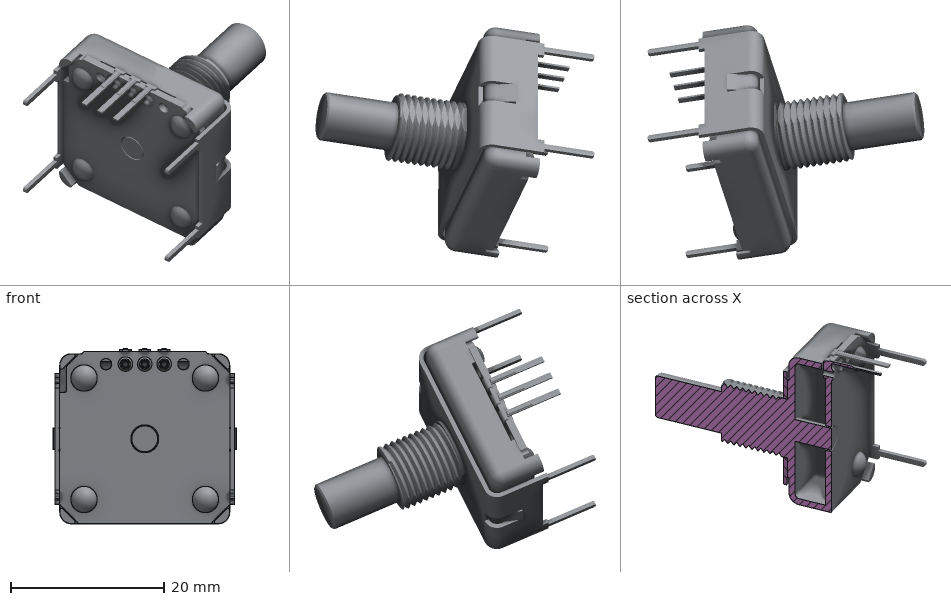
import cadquery as cq
import math


SHAFT_RADIUS = 3.17
SHAFT_TIP_Y = 18.53
SHAFT_CHAMFER = 0.25
BUSHING_RADIUS = 4.48
BUSHING_TOP_Y = 9.0
BUSHING_FLAT_WIDTH = 8.2
BUSHING_TIP_BEVEL_DEPTH = 0.4
BUSHING_TIP_BEVEL_LENGTH = 0.15
THREAD_START_Y = 0.3
THREAD_PITCH = 0.88
THREAD_ROOT_RADIUS = 4.05
THREAD_ROOT_WIDTH = 0.07
THREAD_CREST_WIDTH = 0.07
THREAD_OVERCUT = 0.05
THREAD_END_ANGLE = 7.0
THREAD_END_Y = 8.93

SHEET = 0.57
BRACKET_WIDTH = 23.4
BRACKET_HEIGHT = 17.08
BRACKET_BEND_RADIUS = 1.75
BRACKET_SIDE_REAR_Y = -7.55
EAR_REAR_Y = -8.4
EAR_HEIGHT = 1.9
OVERALL_LENGTH = 33.7
LEG_TIP_Y = SHAFT_TIP_Y - OVERALL_LENGTH
LEG_WIDTH = 0.77
LEG_CENTRE_Z = 7.6
LEG_TIP_CHAMFER = 0.2
LATCH_SLOT_HEIGHT = 3.05
LATCH_SLOT_CENTRE_Z = -0.07
LATCH_SLOT_REAR_Y = -4.55

HOUSING_SIZE = 22.17
HOUSING_HALF = HOUSING_SIZE / 2
HOUSING_FRONT_Y = -0.8
HOUSING_RADIUS = 1.5
HOUSING_WALL = 0.98
POST_REAR_Y = -8.0
POST_INNER = 9.1
POST_DIAGONAL_SUM = 19.8
POST_ROUND = 0.2
BOSS_RADIUS = 7.4
LATCH_WIDTH = 2.75
LATCH_FRONT_Y = -1.9
LATCH_SPAN = 23.9
CAVITY_WIDTH = 12.13
TERMINAL_SLOT_DEPTH = 0.5

BOARD_FRONT_Y = -6.1
BOARD_THICKNESS = 0.95
BOARD_REAR_Y = BOARD_FRONT_Y - BOARD_THICKNESS
BOARD_TOP_Z = 11.4
BOARD_TAB_HALF_WIDTH = 8.22
BOARD_TAB_ROUND = 0.37
BOARD_CORNER_CUT = 2.5
BOARD_NOTCH_WIDTH = 0.88
BOARD_NOTCH_BOTTOM_Z = 6.05
BOARD_NOTCH_ROUND = 0.25
BOARD_CENTRE_HOLE_RADIUS = 1.82
ROTOR_RADIUS = 1.7
STAKE_OFFSET = 7.92
STAKE_RADIUS = 1.72
STAKE_HEIGHT = 1.05
HOLE_ROW_Z = 9.75
SPARE_HOLE_RADIUS = 0.75

TERMINAL_PITCH = 2.53
TERMINAL_SHEET = 0.27
TERMINAL_BEND_RADIUS = 0.37
TERMINAL_FOOT_WIDTH = 1.55
TERMINAL_FOOT_BOTTOM_Z = HOLE_ROW_Z - TERMINAL_FOOT_WIDTH / 2
TERMINAL_SHOULDER_Y = -6.55
TERMINAL_BLADE_WIDTH = 0.8
TERMINAL_TIP_Y = -14.22
TERMINAL_RIB_WIDTH = 0.67
TERMINAL_RIB_HEIGHT = 0.15
TERMINAL_RIB_FRONT_Y = -6.57
TERMINAL_RIB_REAR_Y = -10.25
EYELET_RADIUS = 0.95
EYELET_LIP_RADIUS = 0.67
EYELET_HEIGHT = 0.27
EYELET_HOLE_RADIUS = 0.37
EYELET_FLARE = 0.15

OVERCUT = 0.35


def block(x_range, y_range, z_range):
    """Box between the given limits."""
    (x0, x1), (y0, y1), (z0, z1) = x_range, y_range, z_range
    return cq.Workplane("XY").box(x1 - x0, y1 - y0, z1 - z0, centered=False).translate((x0, y0, z0))


def rod(radius, y_start, y_end, x=0.0, z=0.0):
    """Cylinder parallel to Y."""
    axis = cq.Vector(0, 1, 0)
    return cq.Workplane(cq.Solid.makeCylinder(radius, y_end - y_start, cq.Vector(x, y_start, z), axis))


def with_flats(round_part):
    """Trims a part to the bushing's two flats, facing -X and +X."""
    half = BUSHING_FLAT_WIDTH / 2
    far = HOUSING_SIZE
    return round_part.intersect(block((-half, half), (-far, far), (-far, far)))


def y_prism(points, y_start, y_end):
    """Closed outline of (x, z) points, extruded along Y."""
    outline = cq.Workplane("XZ", origin=(0, y_end, 0)).polyline(points).close()
    return outline.extrude(y_end - y_start)




def thread_groove():
    """V groove of a right-hand thread that ends near the top of the bushing."""
    half_mouth = (THREAD_PITCH - THREAD_CREST_WIDTH) / 2
    half_root = THREAD_ROOT_WIDTH / 2
    flank_slope = (half_mouth - half_root) / (BUSHING_RADIUS - THREAD_ROOT_RADIUS)
    outside = BUSHING_RADIUS + THREAD_OVERCUT
    half_outside = half_mouth + flank_slope * THREAD_OVERCUT
    turns = math.ceil((THREAD_END_Y - THREAD_START_Y) / THREAD_PITCH) + 1
    length = turns * THREAD_PITCH
    helix = cq.Wire.makeHelix(THREAD_PITCH, length, THREAD_ROOT_RADIUS)
    profile = (
        cq.Workplane("XZ")
        .moveTo(THREAD_ROOT_RADIUS, -half_root)
        .lineTo(outside, -half_outside)
        .lineTo(outside, half_outside)
        .lineTo(THREAD_ROOT_RADIUS, half_root)
        .close()
    )
    groove = profile.sweep(cq.Workplane(helix), isFrenet=True)
    groove = groove.rotate((0, 0, 0), (1, 0, 0), -90)
    groove = groove.rotate((0, 0, 0), (0, 1, 0), THREAD_END_ANGLE - 90)
    return groove.translate((0, THREAD_END_Y - length, 0))


def bevelled_envelope():
    """Cylinder around the whole bushing, bevelled at the tip."""
    radius = BUSHING_RADIUS + THREAD_OVERCUT
    tip_radius = BUSHING_RADIUS - BUSHING_TIP_BEVEL_DEPTH
    overcut_length = THREAD_OVERCUT * BUSHING_TIP_BEVEL_LENGTH / BUSHING_TIP_BEVEL_DEPTH
    bevel_start_y = BUSHING_TOP_Y - BUSHING_TIP_BEVEL_LENGTH - overcut_length
    outline = (
        cq.Workplane("XY")
        .moveTo(0, HOUSING_FRONT_Y)
        .lineTo(radius, HOUSING_FRONT_Y)
        .lineTo(radius, bevel_start_y)
        .lineTo(tip_radius, BUSHING_TOP_Y)
        .lineTo(0, BUSHING_TOP_Y)
        .close()
    )
    return outline.revolve(360, (0, 0, 0), (0, 1, 0))


def bushing():
    threaded = rod(BUSHING_RADIUS, THREAD_START_Y, BUSHING_TOP_Y).cut(thread_groove())
    plain = rod(BUSHING_RADIUS, HOUSING_FRONT_Y, THREAD_START_Y)
    return with_flats(threaded).union(with_flats(plain)).intersect(bevelled_envelope())


def shaft():
    outer = rod(SHAFT_RADIUS, BUSHING_TOP_Y, SHAFT_TIP_Y).faces(">Y").chamfer(SHAFT_CHAMFER)
    return outer.union(rod(ROTOR_RADIUS, BOARD_REAR_Y, BUSHING_TOP_Y))


def rounded_cup(half_width, half_height, y_rear, y_front, radius):
    """Block with rounded corners and a rounded front rim."""
    cup = block((-half_width, half_width), (y_rear, y_front), (-half_height, half_height))
    return cup.edges("|Y or >Y").fillet(radius)


def corner_posts():
    """Four slanted, square-cornered posts; the housing rounds their outer corners."""
    slant = POST_DIAGONAL_SUM - POST_INNER
    round_start = HOUSING_HALF - POST_ROUND
    round_end = POST_INNER + POST_ROUND
    bulge = POST_ROUND * (1 - math.sqrt(0.5))
    post = (
        cq.Workplane("XZ", origin=(0, BOARD_FRONT_Y, 0))
        .moveTo(HOUSING_HALF, HOUSING_HALF)
        .lineTo(round_end, HOUSING_HALF)
        .threePointArc((POST_INNER + bulge, HOUSING_HALF - bulge), (POST_INNER, round_start))
        .lineTo(POST_INNER, slant)
        .lineTo(slant, POST_INNER)
        .lineTo(round_start, POST_INNER)
        .threePointArc((HOUSING_HALF - bulge, POST_INNER + bulge), (HOUSING_HALF, round_end))
        .close()
        .extrude(BOARD_FRONT_Y - POST_REAR_Y)
    )
    right = post.union(post.mirror("XY"))
    return right.union(right.mirror("YZ"))


def latch():
    """Snap wedge on the -X side, rising towards the rear."""
    root_x = -HOUSING_HALF + HOUSING_WALL / 2
    return (
        cq.Workplane("XY", origin=(0, 0, -LATCH_WIDTH / 2))
        .moveTo(root_x, LATCH_FRONT_Y)
        .lineTo(-HOUSING_HALF, LATCH_FRONT_Y)
        .lineTo(-LATCH_SPAN / 2, LATCH_SLOT_REAR_Y)
        .lineTo(root_x, LATCH_SLOT_REAR_Y)
        .close()
        .extrude(LATCH_WIDTH)
    )


def housing():
    full = rounded_cup(HOUSING_HALF, HOUSING_HALF, POST_REAR_Y, HOUSING_FRONT_Y, HOUSING_RADIUS)
    far = HOUSING_SIZE
    rim_cut = block((-far, far), (POST_REAR_Y, BOARD_FRONT_Y), (-far, far)).cut(corner_posts())
    cavity = rounded_cup(
        CAVITY_WIDTH / 2,
        HOUSING_HALF - HOUSING_WALL,
        POST_REAR_Y,
        HOUSING_FRONT_Y - HOUSING_WALL,
        HOUSING_RADIUS - HOUSING_WALL,
    )
    half_slot = CAVITY_WIDTH / 2
    terminal_slot = block(
        (-half_slot, half_slot), (BOARD_FRONT_Y, BOARD_FRONT_Y + TERMINAL_SLOT_DEPTH), (0, far)
    )
    boss = rod(BOSS_RADIUS, HOUSING_FRONT_Y, -SHEET)
    shell = full.cut(rim_cut).cut(cavity).cut(terminal_slot)
    return shell.union(boss).union(latch()).union(latch().mirror("YZ"))


def board():
    half = HOUSING_HALF
    corner = half - BOARD_CORNER_CUT
    tab_rise = BOARD_TOP_Z - half
    right_side = [
        (BOARD_TAB_HALF_WIDTH - tab_rise, BOARD_TOP_Z),
        (BOARD_TAB_HALF_WIDTH, half),
        (corner, half),
        (half, corner),
        (half, -corner),
        (corner, -half),
    ]
    left_side = [(-x, z) for x, z in reversed(right_side)]
    plate = y_prism(right_side + left_side, BOARD_REAR_Y, BOARD_FRONT_Y)
    for side in (-1, 1):
        tab_root = cq.selectors.NearestToPointSelector((side * BOARD_TAB_HALF_WIDTH, BOARD_REAR_Y, half))
        plate = plate.edges("|Y").edges(tab_root).fillet(BOARD_TAB_ROUND)
    notch = block(
        (-half - OVERCUT, -half + BOARD_NOTCH_WIDTH),
        (BOARD_REAR_Y, BOARD_FRONT_Y),
        (BOARD_NOTCH_BOTTOM_Z, half),
    )
    notch = notch.edges("|Y and >X and <Z").fillet(BOARD_NOTCH_ROUND)
    plate = plate.cut(notch).cut(rod(BOARD_CENTRE_HOLE_RADIUS, BOARD_REAR_Y, BOARD_FRONT_Y))
    for side in (-1, 1):
        x = side * 2 * TERMINAL_PITCH
        plate = plate.cut(rod(SPARE_HOLE_RADIUS, BOARD_REAR_Y, BOARD_FRONT_Y, x, HOLE_ROW_Z))
    return plate


def stake_head(x, z):
    """Domed head of a heat stake on the rear of the board."""
    sphere_radius = (STAKE_RADIUS**2 + STAKE_HEIGHT**2) / (2 * STAKE_HEIGHT)
    centre_y = BOARD_REAR_Y - STAKE_HEIGHT + sphere_radius
    ball = cq.Workplane("XY").sphere(sphere_radius).translate((x, centre_y, z))
    return ball.intersect(rod(STAKE_RADIUS, BOARD_REAR_Y - STAKE_HEIGHT, BOARD_REAR_Y, x, z))


def terminal(x):
    """Bent terminal: foot in front of the board, blade over its top edge, raised rib on the blade."""
    half_foot = TERMINAL_FOOT_WIDTH / 2
    half_blade = TERMINAL_BLADE_WIDTH / 2
    top_z = BOARD_TOP_Z + TERMINAL_SHEET
    front_y = BOARD_FRONT_Y + TERMINAL_SHEET
    foot = block((-half_foot, half_foot), (BOARD_FRONT_Y, front_y), (TERMINAL_FOOT_BOTTOM_Z, top_z))
    shoulder = block((-half_foot, half_foot), (TERMINAL_SHOULDER_Y, front_y), (BOARD_TOP_Z, top_z))
    bend = foot.union(shoulder).edges("|X and >Y and >Z").fillet(TERMINAL_BEND_RADIUS)
    blade = block((-half_blade, half_blade), (TERMINAL_TIP_Y, TERMINAL_SHOULDER_Y), (BOARD_TOP_Z, top_z))
    rib_length = TERMINAL_RIB_FRONT_Y - TERMINAL_RIB_REAR_Y
    rib_centre_y = (TERMINAL_RIB_FRONT_Y + TERMINAL_RIB_REAR_Y) / 2
    rib = (
        cq.Workplane("XY", origin=(0, rib_centre_y, top_z))
        .rect(TERMINAL_RIB_WIDTH, rib_length)
        .extrude(TERMINAL_RIB_HEIGHT, taper=45)
    )
    return bend.union(blade).union(rib).translate((x, 0, 0))


def eyelet_flange(x):
    """Cone-shaped eyelet flange on the rear of the board."""
    flange = cq.Solid.makeCone(
        EYELET_RADIUS,
        EYELET_LIP_RADIUS,
        EYELET_HEIGHT,
        cq.Vector(x, BOARD_REAR_Y, HOLE_ROW_Z),
        cq.Vector(0, -1, 0),
    )
    return cq.Workplane(flange)


def eyelet_hole(x):
    """Hole through the eyelet, board and terminal foot, flared at the rear."""
    rear_y = BOARD_REAR_Y - EYELET_HEIGHT
    bore = rod(EYELET_HOLE_RADIUS, rear_y, BOARD_FRONT_Y + TERMINAL_SHEET, x, HOLE_ROW_Z)
    flare = cq.Solid.makeCone(
        EYELET_HOLE_RADIUS + EYELET_FLARE,
        EYELET_HOLE_RADIUS,
        EYELET_FLARE,
        cq.Vector(x, rear_y, HOLE_ROW_Z),
        cq.Vector(0, 1, 0),
    )
    return bore.union(cq.Workplane(flare))


def encoder_body():
    body = housing().union(bushing()).union(shaft()).union(board())
    for x in (-STAKE_OFFSET, STAKE_OFFSET):
        for z in (-STAKE_OFFSET, STAKE_OFFSET):
            body = body.union(stake_head(x, z))
    for x in (-TERMINAL_PITCH, 0, TERMINAL_PITCH):
        body = body.union(terminal(x)).union(eyelet_flange(x)).cut(eyelet_hole(x))
    return body




def side_profile():
    """Side plate outline with ears and legs, as a prism across the whole width."""
    half = BRACKET_HEIGHT / 2
    ear_inner = half - EAR_HEIGHT
    leg_outer = LEG_CENTRE_Z + LEG_WIDTH / 2
    leg_inner = LEG_CENTRE_Z - LEG_WIDTH / 2
    leg_shoulder_y = LEG_TIP_Y + LEG_TIP_CHAMFER
    upper = [
        (0, half),
        (EAR_REAR_Y, half),
        (EAR_REAR_Y, leg_outer),
        (leg_shoulder_y, leg_outer),
        (LEG_TIP_Y, leg_outer - LEG_TIP_CHAMFER),
        (LEG_TIP_Y, leg_inner + LEG_TIP_CHAMFER),
        (leg_shoulder_y, leg_inner),
        (EAR_REAR_Y, leg_inner),
        (EAR_REAR_Y, ear_inner),
        (BRACKET_SIDE_REAR_Y, ear_inner),
    ]
    lower = [(y, -z) for y, z in reversed(upper)]
    outline = cq.Workplane("YZ", origin=(-BRACKET_WIDTH / 2, 0, 0)).polyline(upper + lower).close()
    return outline.extrude(BRACKET_WIDTH)


def bent_channel():
    """U-shaped sheet with rounded bends, open to the rear."""
    half_width = BRACKET_WIDTH / 2
    half_height = BRACKET_HEIGHT / 2
    inner = half_width - SHEET
    outside = block((-half_width, half_width), (LEG_TIP_Y, 0), (-half_height, half_height))
    inside = block((-inner, inner), (LEG_TIP_Y, -SHEET), (-half_height, half_height))
    outside = outside.edges("|Z and >Y").fillet(BRACKET_BEND_RADIUS)
    inside = inside.edges("|Z and >Y").fillet(BRACKET_BEND_RADIUS - SHEET)
    return outside.cut(inside)


def latch_slot():
    """Slot from the front bend down one side plate, on the -X side."""
    half_width = BRACKET_WIDTH / 2
    return block(
        (-half_width - OVERCUT, -half_width + BRACKET_BEND_RADIUS),
        (LATCH_SLOT_REAR_Y, OVERCUT),
        (LATCH_SLOT_CENTRE_Z - LATCH_SLOT_HEIGHT / 2, LATCH_SLOT_CENTRE_Z + LATCH_SLOT_HEIGHT / 2),
    )


def mounting_bracket():
    sheet = bent_channel().intersect(side_profile())
    sheet = sheet.cut(latch_slot()).cut(latch_slot().mirror("YZ"))
    return sheet.cut(with_flats(rod(BUSHING_RADIUS, -SHEET, 0)))


encoder = encoder_body()
bracket = mounting_bracket()

result = cq.Compound.makeCompound([encoder.solids().val(), bracket.solids().val()])